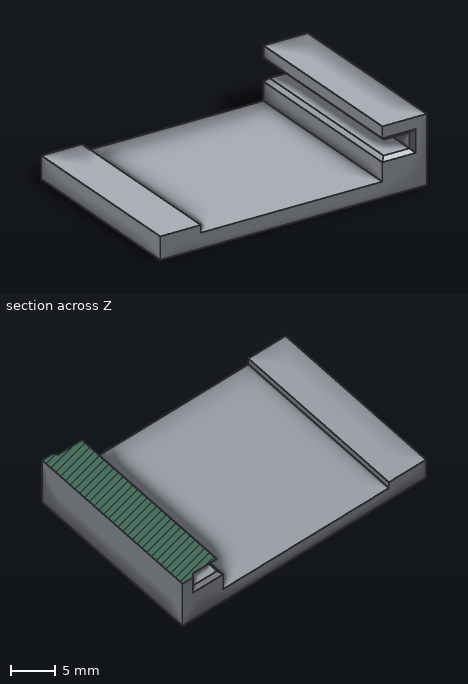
import cadquery as cq

width = 25.0
length = 36.0
height = 9.0

plate_thickness = 2.0
lip_length = 5.5
lip_height = 3.0

block_length = 6.0
slot_wall = 2.0
slot_height = 2.0
slot_chamfer = 0.5

block_front = length - block_length
slot_back = length - slot_wall
slot_top = height - slot_wall
slot_bottom = slot_top - slot_height
selection_margin = 0.05


def make_body():
    """Side profile in the YZ plane, extruded across the width."""
    profile = [
        (0, 0),
        (length, 0),
        (length, height),
        (block_front, height),
        (block_front, slot_top),
        (slot_back, slot_top),
        (slot_back, slot_bottom),
        (block_front, slot_bottom),
        (block_front, plate_thickness),
        (lip_length, plate_thickness),
        (lip_length, lip_height),
        (0, lip_height),
    ]
    return cq.Workplane("YZ").polyline(profile).close().extrude(width)


def slot_region(x_range, y_range):
    """Selector for edges centred in part of the slot, at any slot height."""
    return cq.selectors.BoxSelector(
        (x_range[0] - selection_margin, y_range[0] - selection_margin, slot_bottom - selection_margin),
        (x_range[1] + selection_margin, y_range[1] + selection_margin, slot_top + selection_margin),
    )


def chamfer_slot_rim(body):
    """Chamfer the slot's rim along the front and around both open ends."""
    left_end = slot_region((0, 0), (block_front, slot_back))
    right_end = slot_region((width, width), (block_front, slot_back))
    front_mouth = slot_region((0, width), (block_front, block_front))
    return body.edges(left_end + right_end + front_mouth).chamfer(slot_chamfer)


result = chamfer_slot_rim(make_body())